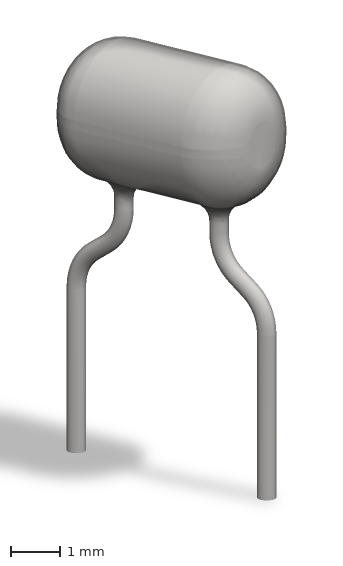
import cadquery as cq
import math

body_length = 4.8
body_width = 2.8
body_height = 3.0
end_rounding = 1.0

overall_height = 9.0
overall_length = 5.4
lead_diameter = 0.4
lead_root_offset = 1.25
bend_radius = 1.0
bend_angle = 56.0
straight_below_body = 0.59
root_fillet = 0.4

body_bottom = -body_height / 2
lead_bottom = body_height / 2 - overall_height
lead_foot_offset = (overall_length - lead_diameter) / 2


def make_body():
    """Extrude the stadium section along X and round both ends."""
    section = cq.Workplane("YZ").slot2D(body_height, body_width, 90)
    capsule = section.extrude(body_length / 2, both=True)
    return capsule.faces("<X or >X").edges().fillet(end_rounding)


def make_lead(side):
    """Sweep the round wire down from the body centre; side is -1 for -X and +1 for +X."""
    angle = math.radians(bend_angle)
    bend_shift = bend_radius * (1 - math.cos(angle))
    bend_drop = bend_radius * math.sin(angle)
    slope_shift = lead_foot_offset - lead_root_offset - 2 * bend_shift
    slope_drop = slope_shift / math.tan(angle)
    half_shift = bend_radius * (1 - math.cos(angle / 2))
    half_drop = bend_radius * math.sin(angle / 2)

    bend_top = body_bottom - straight_below_body
    slope_top = bend_top - bend_drop
    slope_bottom = slope_top - slope_drop
    bend_bottom = slope_bottom - bend_drop

    path = (
        cq.Workplane("XZ")
        .moveTo(side * lead_root_offset, 0)
        .lineTo(side * lead_root_offset, bend_top)
        .threePointArc(
            (side * (lead_root_offset + half_shift), bend_top - half_drop),
            (side * (lead_root_offset + bend_shift), slope_top),
        )
        .lineTo(side * (lead_foot_offset - bend_shift), slope_bottom)
        .threePointArc(
            (side * (lead_foot_offset - half_shift), bend_bottom + half_drop),
            (side * lead_foot_offset, bend_bottom),
        )
        .lineTo(side * lead_foot_offset, lead_bottom)
    )
    wire_section = cq.Workplane("XY").center(side * lead_root_offset, 0).circle(lead_diameter / 2)
    return wire_section.sweep(path)


def root_edges(part):
    """Select the edges where the leads enter the underside of the body."""
    root_zone = cq.selectors.BoxSelector(
        (-lead_foot_offset, -lead_diameter, body_bottom - lead_diameter / 2),
        (lead_foot_offset, lead_diameter, body_bottom + lead_diameter / 2),
        boundingbox=True,
    )
    return part.edges(root_zone)


result = make_body()
for side in (-1, 1):
    result = result.union(make_lead(side))
result = root_edges(result).fillet(root_fillet)